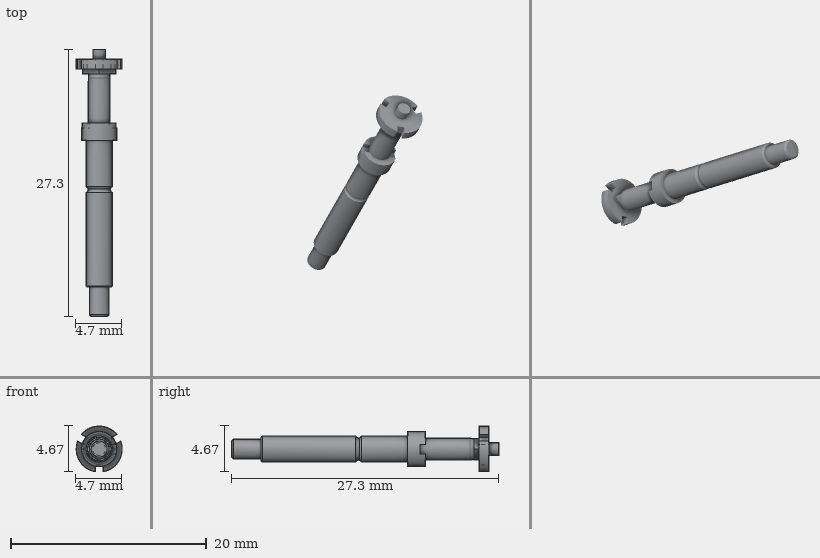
import cadquery as cq

TOTAL_LENGTH = 27.3
TIP_Y = TOTAL_LENGTH / 2

TIP_RADIUS = 0.65
TIP_LENGTH = 1.0

DISC_RADIUS = 2.35
DISC_THICKNESS = 1.0
SLOT_COUNT = 3
SLOT_WIDTH = 0.8
SLOT_FLOOR_RADIUS = 1.65

DIAMOND_WIDTH = 3.39
DIAMOND_HEIGHT = 2.18
DIAMOND_THICKNESS = 0.5

PLUNGER_RADIUS = 1.12
PLUNGER_LENGTH = 5.0
PLUNGER_NECK_RADIUS = 1.06
PLUNGER_TAPER = 0.4

COLLAR_RADIUS = 1.8
COLLAR_THICKNESS = 1.8
NOTCH_WIDTH = 0.98
NOTCH_DEPTH = 0.52

BARREL_RADIUS = 1.35
BARREL_CHAMFER = 0.15
BARREL_LENGTH = 15.0

GROOVE_START = 4.7
GROOVE_CONE_LENGTH = 0.25
GROOVE_ARC_LENGTH = 0.38
GROOVE_DEPTH = 0.22

PIN_RADIUS = 1.0
PIN_CHAMFER = 0.2

disc_front = TIP_LENGTH + DISC_THICKNESS
plunger_start = disc_front + DIAMOND_THICKNESS
collar_start = plunger_start + PLUNGER_LENGTH
barrel_start = collar_start + COLLAR_THICKNESS
barrel_end = barrel_start + BARREL_LENGTH


def plane_at(station):
    """Plane across the axis at a station, extruding toward -Y, with local y along Z."""
    return cq.Workplane("XZ", origin=(0, TIP_Y - station, 0))


def cylinder(radius, start, length):
    return plane_at(start).circle(radius).extrude(length)


def slotted_disc():
    disc = cylinder(DISC_RADIUS, TIP_LENGTH, DISC_THICKNESS)
    slot = (
        plane_at(TIP_LENGTH)
        .center(0, -SLOT_FLOOR_RADIUS - DISC_RADIUS / 2)
        .rect(SLOT_WIDTH, DISC_RADIUS)
        .extrude(DISC_THICKNESS)
    )
    for index in range(SLOT_COUNT):
        angle = index * 360 / SLOT_COUNT
        disc = disc.cut(slot.rotate((0, 0, 0), (0, 1, 0), angle))
    return disc


def diamond_plate():
    half_width = DIAMOND_WIDTH / 2
    half_height = DIAMOND_HEIGHT / 2
    corners = [(half_width, 0), (0, half_height), (-half_width, 0), (0, -half_height)]
    return plane_at(disc_front).polyline(corners).close().extrude(DIAMOND_THICKNESS)


def plunger():
    taper = (
        plane_at(plunger_start)
        .circle(PLUNGER_NECK_RADIUS)
        .workplane(offset=PLUNGER_TAPER)
        .circle(PLUNGER_RADIUS)
        .loft()
    )
    straight = cylinder(PLUNGER_RADIUS, plunger_start + PLUNGER_TAPER, PLUNGER_LENGTH - PLUNGER_TAPER)
    return taper.union(straight)


def notched_collar():
    collar = cylinder(COLLAR_RADIUS, collar_start, COLLAR_THICKNESS)
    notches = plane_at(collar_start).rect(2 * COLLAR_RADIUS, NOTCH_WIDTH).extrude(NOTCH_DEPTH)
    core = cylinder(PLUNGER_RADIUS, collar_start, NOTCH_DEPTH)
    return collar.cut(notches).union(core)


def grooved_barrel():
    barrel = cylinder(BARREL_RADIUS, barrel_start, BARREL_LENGTH).faces("<Y").chamfer(BARREL_CHAMFER)
    groove_y = TIP_Y - barrel_start - GROOVE_START
    floor_y = groove_y - GROOVE_CONE_LENGTH
    groove_arc_radius = (GROOVE_ARC_LENGTH**2 + GROOVE_DEPTH**2) / (2 * GROOVE_DEPTH)
    groove = (
        cq.Workplane("XY")
        .moveTo(BARREL_RADIUS, groove_y)
        .lineTo(BARREL_RADIUS - GROOVE_DEPTH, floor_y)
        .radiusArc((BARREL_RADIUS, floor_y - GROOVE_ARC_LENGTH), -groove_arc_radius)
        .close()
        .revolve(360, (0, 0, 0), (0, 1, 0))
    )
    return barrel.cut(groove)


def tail_pin():
    return cylinder(PIN_RADIUS, barrel_end, TOTAL_LENGTH - barrel_end).faces("<Y").chamfer(PIN_CHAMFER)


result = (
    cylinder(TIP_RADIUS, 0, TIP_LENGTH)
    .union(slotted_disc())
    .union(diamond_plate())
    .union(plunger())
    .union(notched_collar())
    .union(grooved_barrel())
    .union(tail_pin())
)